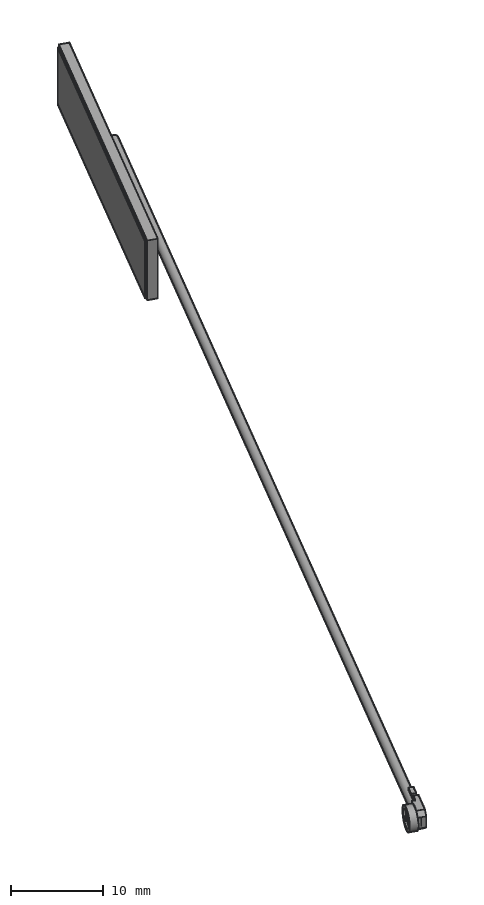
import cadquery as cq

TOTAL_LENGTH = 137.8

BOARD_LENGTH = 35.0
BOARD_HEIGHT = 8.3
BOARD_THICKNESS = 1.19

FILM_THICKNESS = 0.1
FILM_INSET = 0.4

CABLE_DIAMETER = 1.13
CABLE_RADIUS = CABLE_DIAMETER / 2
CABLE_START_X = 15.5
CABLE_Z = 6.8

RING_DIAMETER = 3.0
RING_RADIUS = RING_DIAMETER / 2
RING_BORE_RADIUS = 1.1
RING_FRONT_Y = -0.8
RING_X = TOTAL_LENGTH - RING_RADIUS

BACK_Y = CABLE_DIAMETER
CAP_FRONT_Y = 0.1
CAP_START_X = 135.1
CAP_END_X = 137.5
CAP_HEIGHT = 2.6
CAP_CHAMFER = 0.5
NECK_START_X = 134.3
CRIMP_START_X = 132.3
CRIMP_LENGTH = 1.1
CRIMP_HEIGHT = 1.8
CABLE_END_X = RING_X - RING_BORE_RADIUS

CORE_FRONT_Y = -0.5
CONTACT_RADIUS = 0.3


def block(x_start, x_end, y_start, y_end, z_start, z_end):
    """Box between opposite corners."""
    size = (x_end - x_start, y_end - y_start, z_end - z_start)
    return cq.Workplane("XY").box(*size, centered=False).translate((x_start, y_start, z_start))


def block_on_cable(x_start, x_end, y_start, height):
    """Block centred on the cable height that reaches the rear of the plug."""
    return block(x_start, x_end, y_start, BACK_Y, CABLE_Z - height / 2, CABLE_Z + height / 2)


def plug_cylinder(radius, y_start, y_end):
    """Cylinder on the plug axis."""
    plane = cq.Plane(origin=(RING_X, y_start, CABLE_Z), xDir=(1, 0, 0), normal=(0, 1, 0))
    return cq.Workplane(plane).circle(radius).extrude(y_end - y_start)


def make_board():
    return block(0, BOARD_LENGTH, -BOARD_THICKNESS, 0, 0, BOARD_HEIGHT)


def make_film():
    """Film flush with the board at the free end and the lower edge."""
    rear_y = -BOARD_THICKNESS
    front_y = rear_y - FILM_THICKNESS
    return block(0, BOARD_LENGTH - FILM_INSET, front_y, rear_y, 0, BOARD_HEIGHT - FILM_INSET)


def make_cable():
    plane = cq.Plane(origin=(CABLE_START_X, CABLE_RADIUS, CABLE_Z), xDir=(0, 0, 1), normal=(1, 0, 0))
    return cq.Workplane(plane).circle(CABLE_RADIUS).extrude(CABLE_END_X - CABLE_START_X)


def make_shell(cable):
    """Ring, cap, neck and crimp of the plug, hollowed for the core and the cable."""
    ring = plug_cylinder(RING_RADIUS, RING_FRONT_Y, CAP_FRONT_Y)
    cap = block_on_cable(CAP_START_X, CAP_END_X, CAP_FRONT_Y, CAP_HEIGHT)
    cap = cap.edges("|Y and >X").chamfer(CAP_CHAMFER)
    neck = block_on_cable(NECK_START_X, RING_X, CABLE_RADIUS, CAP_HEIGHT)
    strip = block_on_cable(CRIMP_START_X, RING_X, CABLE_RADIUS, CABLE_DIAMETER)
    crimp = block_on_cable(CRIMP_START_X, CRIMP_START_X + CRIMP_LENGTH, CABLE_RADIUS, CRIMP_HEIGHT)
    bore = plug_cylinder(RING_BORE_RADIUS, RING_FRONT_Y, CABLE_RADIUS)
    return ring.union(cap).union(neck).union(strip).union(crimp).cut(bore).cut(cable)


def make_core(cable):
    """Insulating disc in the bore with the centre contact standing on it."""
    disc = plug_cylinder(RING_BORE_RADIUS, CORE_FRONT_Y, CABLE_RADIUS)
    contact = plug_cylinder(CONTACT_RADIUS, RING_FRONT_Y, CABLE_RADIUS)
    return disc.union(contact).cut(cable)


board = make_board()
film = make_film()
cable = make_cable()
shell = make_shell(cable)
core = make_core(cable)
result = cq.Compound.makeCompound(
    [board.val(), film.val(), cable.val(), shell.val(), core.val()]
)